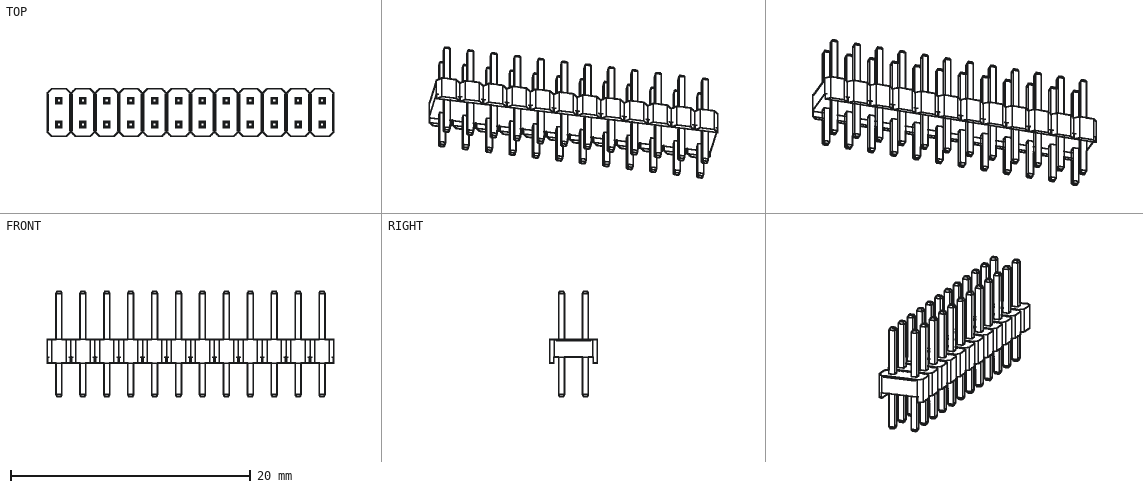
import cadquery as cq

length = 24.0
columns = 12
rows = 2
pitch = length / columns
width = rows * pitch
housing_height = pitch
corner_cut = pitch / 5
wall_thickness = 0.35
channel_depth = 0.5

groove_half_width = 0.1
groove_depth = groove_half_width
groove_length = 3.0

pin_size = 0.5
pin_height_above = 4.0
pin_length = 8.8
tip_size = 0.3
tip_length = 0.2


def column_x(column):
    return (column - (columns - 1) / 2) * pitch


def row_y(row):
    return (row - (rows - 1) / 2) * pitch


def make_notch(x, side):
    edge_y = side * width / 2
    return (
        cq.Workplane("XY")
        .moveTo(x - corner_cut, edge_y)
        .lineTo(x, edge_y - side * corner_cut)
        .lineTo(x + corner_cut, edge_y)
        .close()
        .extrude(housing_height)
    )


def make_groove(x):
    top_center = (x, 0, housing_height)
    v_profile = (
        cq.Workplane("XZ", origin=top_center)
        .moveTo(-groove_half_width, 0)
        .lineTo(0, -groove_depth)
        .lineTo(groove_half_width, 0)
        .close()
        .extrude(groove_length / 2, both=True)
    )
    half_top = groove_length / 2
    half_bottom = half_top - groove_depth
    end_profile = (
        cq.Workplane("YZ", origin=top_center)
        .moveTo(-half_top, 0)
        .lineTo(-half_bottom, -groove_depth)
        .lineTo(half_bottom, -groove_depth)
        .lineTo(half_top, 0)
        .close()
        .extrude(groove_half_width, both=True)
    )
    return v_profile.intersect(end_profile)


def make_housing():
    housing = cq.Workplane("XY").box(length, width, housing_height, centered=(True, True, False))
    for joint in range(columns + 1):
        x = joint * pitch - length / 2
        for side in (-1, 1):
            housing = housing.cut(make_notch(x, side))
        housing = housing.cut(make_groove(x))
    channel = cq.Workplane("XY").box(
        length, width - 2 * wall_thickness, channel_depth, centered=(True, True, False)
    )
    return housing.cut(channel)


def make_tip(z, direction):
    return (
        cq.Workplane("XY", origin=(0, 0, z))
        .rect(pin_size, pin_size)
        .workplane(offset=direction * tip_length)
        .rect(tip_size, tip_size)
        .loft(ruled=True)
    )


def make_pin():
    top = housing_height + pin_height_above
    shank_bottom = top - pin_length + tip_length
    shank_length = pin_length - 2 * tip_length
    shank = cq.Workplane("XY", origin=(0, 0, shank_bottom)).rect(pin_size, pin_size).extrude(shank_length)
    return shank.union(make_tip(top - tip_length, 1)).union(make_tip(shank_bottom, -1))


result = make_housing()
pin = make_pin()
for column in range(columns):
    for row in range(rows):
        result = result.union(pin.translate((column_x(column), row_y(row), 0)))